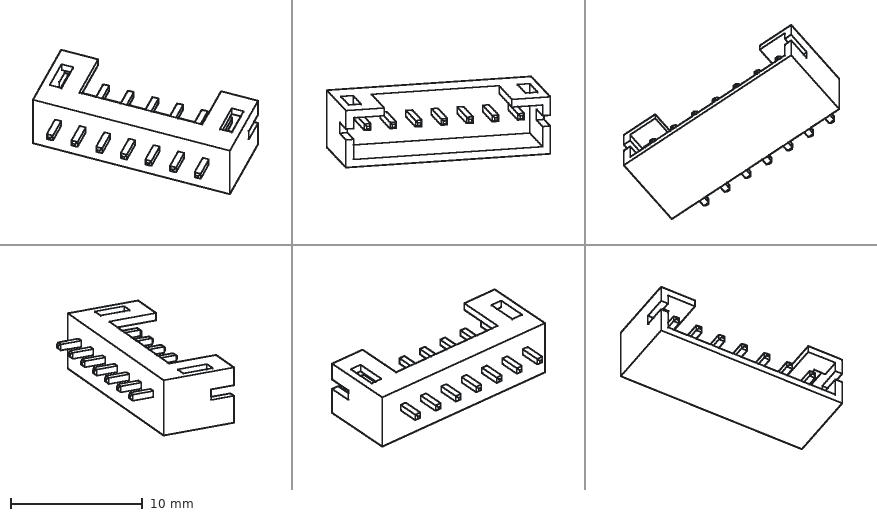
import cadquery as cq

length = 16.0
depth = 6.0
height = 4.5
base_depth = 2.0
side_wall = 0.6
roof = 0.6
floor = 0.6

arm_width = 3.0
slot_bottom = 2.2
slot_height = 0.85
slot_depth = 1.95
window_width = 0.96
window_depth = 2.5
window_inset = 0.6

pin_count = 7
pin_pitch = 2.0
pin_offset = 0.05
pin_side = 0.5
pin_z = 2.8
pin_front = -1.9
pin_back = 5.15
tip_length = 0.16
tip_side = 0.22


def block(x0, x1, y0, y1, z0, z1):
    return cq.Workplane("XY").box(x1 - x0, y1 - y0, z1 - z0, centered=False).translate((x0, y0, z0))


def pin_tip(x, y, outward):
    """Square taper pointing along Y; outward is +1 or -1."""
    face = cq.Plane(origin=(x, y, pin_z), xDir=(1, 0, 0), normal=(0, outward, 0))
    return (
        cq.Workplane(face)
        .rect(pin_side, pin_side)
        .workplane(offset=tip_length)
        .rect(tip_side, tip_side)
        .loft(ruled=True)
    )


def pin(x):
    shank_front = pin_front + tip_length
    shank_back = pin_back - tip_length
    half = pin_side / 2
    shank = block(x - half, x + half, shank_front, shank_back, pin_z - half, pin_z + half)
    shank = shank.union(pin_tip(x, shank_front, -1))
    return shank.union(pin_tip(x, shank_back, 1))


def housing():
    half = length / 2
    cavity_top = height - roof
    body = block(-half, half, 0, depth, 0, height)
    body = body.cut(block(-half + side_wall, half - side_wall, base_depth, depth, floor, cavity_top))
    body = body.cut(block(-half + arm_width, half - arm_width, base_depth, depth, floor, height))
    slot_top = slot_bottom + slot_height
    body = body.cut(block(-half, half, depth - slot_depth, depth, slot_bottom, slot_top))
    for x in (-half + window_inset, half - window_inset - window_width):
        body = body.cut(block(x, x + window_width, base_depth, base_depth + window_depth, cavity_top, height))
    return body


result = housing()
first_pin_x = pin_offset - (pin_count - 1) * pin_pitch / 2
for i in range(pin_count):
    result = result.union(pin(first_pin_x + i * pin_pitch))